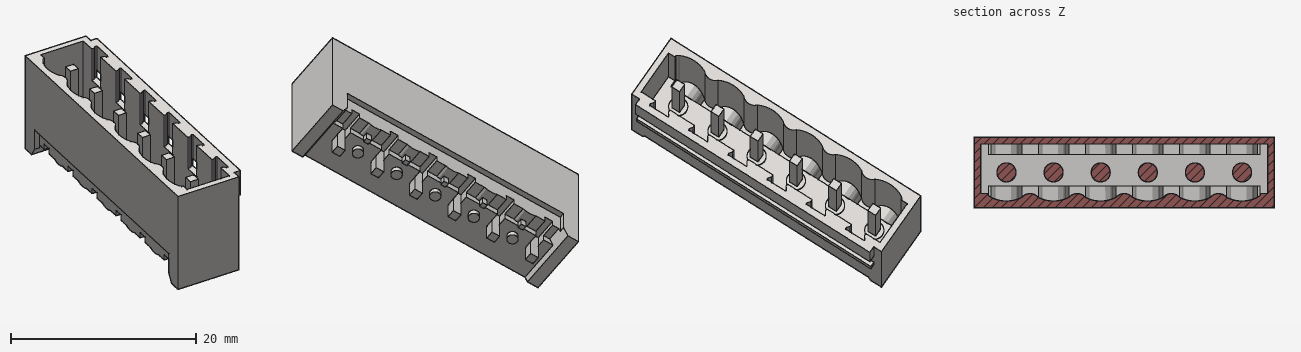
import cadquery as cq
import math


length = 32.38
depth = 7.65
height = 11.98
end_wall = 0.7
back_wall = 0.78

poles = 6
pitch = 5.08
pole_x = [(i - (poles - 1) / 2) * pitch for i in range(poles)]
gap_x = [x + pitch / 2 for x in pole_x[:-1]]

cavity_back = depth - back_wall
cavity_front = 1.55
platform_z = 4.0
platform_front = 2.33
platform_back = 5.73
trough_z = 2.62
trough_length = 29.35

scallop_bottom_y = 0.75
scallop_edge_y = 1.15
scallop_half = 1.68
scallop_end_y = 1.35

saddle_half = 1.65
saddle_arc_half = 1.25
saddle_flank_angle = math.radians(58)

groove_z = 7.95
groove_wide = 2.4
groove_narrow = 1.88
groove_lip = 0.25
groove_straight = 0.2

rail_length = 30.37
rail_depth = 0.78
rail_height = 3.15
rib_depth = 0.58
rib_z = 5.95
rib_height = 0.8

recess_length = 28.43
recess_depth = 0.6
recess_height = 3.53
foot_inner_x = 14.8
ceiling_z = 1.35
ceiling_half = 14.02
core_z = 0.58
bump_half = 0.85
bump_drop = 0.2

tab_width = 0.6
tab_depth = 0.58
tab_z = 0.25
foot_diameter = 1.23

pin_size = 1.0
pin_y = 3.82
pin_bottom = -1.52
pin_top = 11.1
pin_slot_top = 2.05
collar_diameter = 2.07
collar_height = 0.13


def block(x_size, y0, y1, z0, z1, x=0.0):
    """Box centred on x along X and spanning the given Y and Z ranges."""
    corner = (x - x_size / 2, y0, z0)
    return cq.Workplane("XY").box(x_size, y1 - y0, z1 - z0, centered=False).translate(corner)


def extrude_y(profile, y0, y1):
    """Extrude an XZ outline from y0 to y1."""
    return profile.extrude(-(y1 - y0)).translate((0, y0, 0))


def scalloped_trough():
    """Front trough, whose front side is a row of scallops joined by rounded crests."""
    end = trough_length / 2
    outline = (
        cq.Workplane("XY", origin=(0, 0, trough_z))
        .moveTo(-end, platform_front)
        .lineTo(-end, scallop_end_y)
        .lineTo(pole_x[0] - scallop_half, scallop_edge_y)
    )
    for x in pole_x:
        outline = outline.threePointArc((x, scallop_bottom_y), (x + scallop_half, scallop_edge_y))
        if x != pole_x[-1]:
            crest = (x + pitch / 2, cavity_front)
            outline = outline.threePointArc(crest, (x + pitch - scallop_half, scallop_edge_y))
    outline = outline.lineTo(end, scallop_end_y).lineTo(end, platform_front).close()
    return outline.extrude(height - trough_z)


def saddle(x, y0, y1):
    """Rounded hump along Y whose straight flanks run tangent into its top arc."""
    radius = saddle_arc_half / math.sin(saddle_flank_angle)
    flank_top = trough_z + (saddle_half - saddle_arc_half) * math.tan(saddle_flank_angle)
    crown = flank_top + radius * (1 - math.cos(saddle_flank_angle))
    profile = (
        cq.Workplane("XZ")
        .moveTo(x - saddle_half, trough_z)
        .lineTo(x - saddle_arc_half, flank_top)
        .threePointArc((x, crown), (x + saddle_arc_half, flank_top))
        .lineTo(x + saddle_half, trough_z)
        .close()
    )
    return extrude_y(profile, y0, y1)


def dovetail_groove(x):
    """Groove that widens toward the back and runs from its ledge up to the top."""
    wide = groove_wide / 2
    narrow = groove_narrow / 2
    half = [
        (narrow, cavity_back),
        (narrow, cavity_back + groove_lip),
        (wide, depth - groove_straight),
        (wide, depth),
    ]
    points = [(x + dx, y) for dx, y in half] + [(x - dx, y) for dx, y in reversed(half)]
    return cq.Workplane("XY", origin=(0, 0, groove_z)).polyline(points).close().extrude(height - groove_z)


def underside_cut(top_z, y0, y1):
    """Clearance below the housing, with sloped ends that leave a foot on each side."""
    slope = (foot_inner_x - ceiling_half) / ceiling_z
    top_half = foot_inner_x - slope * top_z
    points = [(-foot_inner_x, 0), (foot_inner_x, 0), (top_half, top_z), (-top_half, top_z)]
    return extrude_y(cq.Workplane("XZ").polyline(points).close(), y0, y1)


def ceiling_bump(x):
    """Shallow arc hanging from the front ceiling between two poles."""
    profile = (
        cq.Workplane("XZ")
        .moveTo(x - bump_half, ceiling_z)
        .threePointArc((x, ceiling_z - bump_drop), (x + bump_half, ceiling_z))
        .close()
    )
    return extrude_y(profile, recess_depth, platform_front)


body = block(length, 0, depth, 0, height)
body = body.union(block(rail_length, depth, depth + rail_depth, height - rail_height, height))
body = body.union(block(rail_length, depth, depth + rib_depth, rib_z, rib_z + rib_height))

body = body.cut(block(length - 2 * end_wall, cavity_front, cavity_back, platform_z, height))
body = body.cut(block(trough_length, platform_back, cavity_back, trough_z, height))
body = body.cut(scalloped_trough())
for x in pole_x:
    body = body.union(saddle(x, recess_depth, platform_front))
    body = body.union(saddle(x, platform_back, cavity_back))
    body = body.cut(dovetail_groove(x))

body = body.cut(block(recess_length, 0, recess_depth, 0, recess_height))
body = body.cut(underside_cut(ceiling_z, 0, platform_front))
body = body.cut(underside_cut(core_z, platform_front, depth))
for x in gap_x:
    body = body.union(ceiling_bump(x))
    body = body.union(block(tab_width, platform_front - tab_depth, platform_front, tab_z, ceiling_z, x))
    foot = cq.Workplane("XY").center(x, pin_y).circle(foot_diameter / 2).extrude(core_z)
    body = body.union(foot)

for x in pole_x:
    body = body.cut(block(pin_size, 0, pin_y, 0, pin_slot_top, x))
    collar = cq.Workplane("XY", origin=(x, pin_y, platform_z)).circle(collar_diameter / 2)
    body = body.union(collar.extrude(collar_height))
    body = body.union(block(pin_size, pin_y - pin_size / 2, pin_y + pin_size / 2, pin_bottom, pin_top, x))

result = body